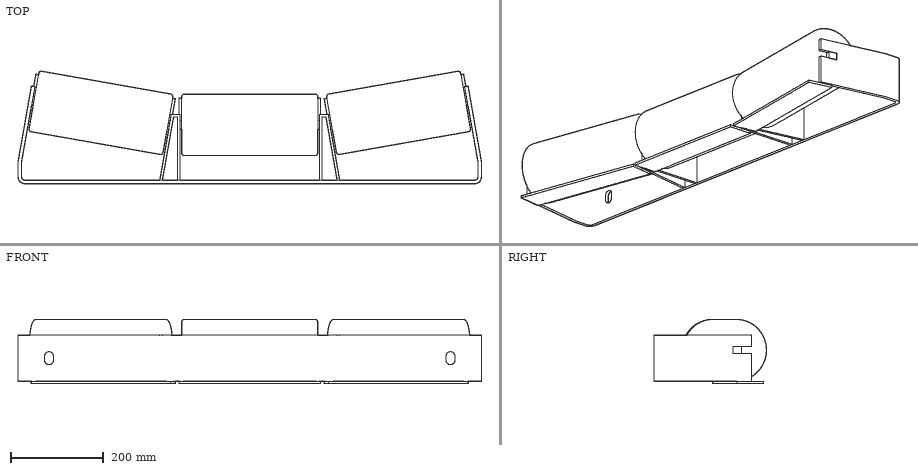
import cadquery as cq
import math


frame_length = 1000.0
wing_angle = 10.0
centre_axis_y = 127.0
wing_centre_x = 321.0
wing_centre_y = 153.0
station_half = 150.0

tie_thickness = 5.0
tie_width = 58.0
tie_half_length = 153.0
tie_offset = 29.0

bar_height = 100.0
bar_thickness = 8.0
bar_corner_radius = 15.0
arm_reach = 31.0
bracket_thickness = 6.0
bracket_depth = 150.0
mount_hole_x = 433.0
mount_hole_width = 19.0
mount_hole_height = 28.0

roller_diameter = 133.0
roller_length = 294.0
roller_fillet = 6.0
shaft_width = 19.0
shaft_height = 15.0
tie_clearance = 1.0

bar_bottom = tie_thickness
bar_middle = bar_bottom + bar_height / 2
axis_z = tie_thickness + tie_clearance + roller_diameter / 2

sin_wing = math.sin(math.radians(wing_angle))
cos_wing = math.cos(math.radians(wing_angle))


def wing_point(along, across):
    """Plan point of the left station: along its roller axis, and across it towards +Y."""
    return (
        -wing_centre_x + along * cos_wing + across * sin_wing,
        wing_centre_y - along * sin_wing + across * cos_wing,
    )


def wing_line_x(along, y):
    """X at position y of the left-station line that crosses the axis squarely at `along`."""
    axis_x, axis_y = wing_point(along, 0)
    return axis_x + (y - axis_y) * sin_wing / cos_wing


def wing_line_y(along, x):
    """Y at position x of the same line."""
    axis_x, axis_y = wing_point(along, 0)
    return axis_y + (x - axis_x) * cos_wing / sin_wing


def at_left(shape):
    """Move a shape built around the origin to the left roller station."""
    return shape.rotate((0, 0, 0), (0, 0, 1), -wing_angle).translate((-wing_centre_x, wing_centre_y, 0))


def at_centre(shape):
    """Move a shape built around the origin to the middle roller station."""
    return shape.translate((0, centre_axis_y, 0))


def at_right(shape):
    """Move a shape built around the origin to the right roller station."""
    return shape.rotate((0, 0, 0), (0, 0, 1), wing_angle).translate((wing_centre_x, wing_centre_y, 0))


stations = [at_left, at_centre, at_right]


def shaft_slots():
    """Cutter at the origin: a slot at each end of the shaft, open towards +Y."""
    slot_length = shaft_width / 2 + arm_reach
    slot_depth = bar_thickness
    slot_x = station_half + slot_depth / 2
    slots = (
        cq.Workplane("XY")
        .pushPoints([(-slot_x, 0), (slot_x, 0)])
        .box(slot_depth, slot_length, shaft_height, centered=(True, False, True))
    )
    return slots.translate((0, -shaft_width / 2, axis_z))


def corner_at(y):
    """Selector for the upright frame edges at position y."""
    margin = bar_thickness / 4
    return cq.selectors.BoxSelector(
        (-frame_length, y - margin, bar_middle - margin),
        (frame_length, y + margin, bar_middle + margin),
    )


def make_frame():
    """Back bar with both ends bent forwards and inwards, square to the outer rollers."""
    outer_x = -frame_length / 2
    inner_x = outer_x + bar_thickness
    arm_outer = -station_half - bar_thickness
    left_half = (
        cq.Workplane("XY")
        .workplane(offset=bar_bottom)
        .polyline([
            (0, 0),
            (outer_x, 0),
            (outer_x, wing_line_y(arm_outer, outer_x)),
            wing_point(arm_outer, arm_reach),
            wing_point(-station_half, arm_reach),
            (inner_x, wing_line_y(-station_half, inner_x)),
            (inner_x, bar_thickness),
            (0, bar_thickness),
        ])
        .close()
        .extrude(bar_height)
    )
    frame = left_half.union(left_half.mirror("YZ"))
    bend_inside = bar_corner_radius - bar_thickness
    frame = frame.edges(corner_at(0)).fillet(bar_corner_radius)
    frame = frame.edges(corner_at(bar_thickness)).fillet(bend_inside)
    mount_holes = (
        cq.Workplane("XZ")
        .pushPoints([(-mount_hole_x, bar_middle), (mount_hole_x, bar_middle)])
        .slot2D(mount_hole_height, mount_hole_width, 90)
        .extrude(-bar_thickness)
    )
    frame = frame.cut(mount_holes)
    for place in (at_left, at_right):
        frame = frame.cut(place(shaft_slots()))
    return frame


def make_left_bracket():
    """U-bracket between the left and middle rollers: one arm square to each of them."""
    wing_face = station_half
    wing_back = station_half + bracket_thickness
    web_back = bracket_depth - bracket_thickness
    bracket = (
        cq.Workplane("XY")
        .workplane(offset=bar_bottom)
        .polyline([
            (wing_line_x(wing_face, bar_thickness), bar_thickness),
            (wing_line_x(wing_face, bracket_depth), bracket_depth),
            (-station_half, bracket_depth),
            (-station_half, bar_thickness),
            (-station_half - bracket_thickness, bar_thickness),
            (-station_half - bracket_thickness, web_back),
            (wing_line_x(wing_back, web_back), web_back),
            (wing_line_x(wing_back, bar_thickness), bar_thickness),
        ])
        .close()
        .extrude(bar_height)
    )
    for place in (at_left, at_centre):
        bracket = bracket.cut(place(shaft_slots()))
    return bracket


def make_roller():
    """Roller along X at the origin, with flat-sided shaft ends that fill the support slots."""
    shell = (
        cq.Workplane("YZ")
        .workplane(offset=-roller_length / 2)
        .circle(roller_diameter / 2)
        .extrude(roller_length)
        .faces("<X or >X")
        .edges()
        .fillet(roller_fillet)
    )
    shaft_length = 2 * (station_half + bracket_thickness)
    shaft = cq.Workplane("XY").box(shaft_length, shaft_width, shaft_height)
    return shell.union(shaft).translate((0, 0, axis_z))


def make_tie_plate():
    """Flat plate under a roller station."""
    return cq.Workplane("XY").box(
        2 * tie_half_length, tie_width, tie_thickness, centered=(True, True, False)
    ).translate((0, tie_offset, 0))


frame = make_frame()
left_bracket = make_left_bracket()
brackets = [left_bracket, left_bracket.mirror("YZ")]
rollers = [place(make_roller()) for place in stations]
tie_plates = [place(make_tie_plate()) for place in stations]

bodies = [frame, *brackets, *rollers, *tie_plates]
result = cq.Compound.makeCompound([body.val() for body in bodies])